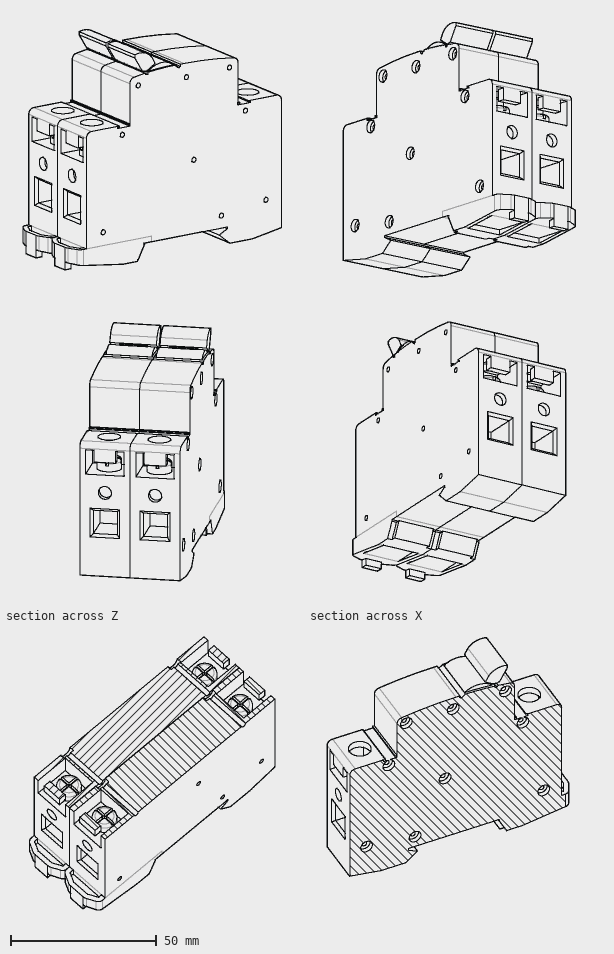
import cadquery as cq


pole_width = 17.5
half_width = pole_width / 2
depth = 81.1
mid_y = depth / 2
pole_count = 2

shoulder_z = 49.7
corner_radius = 2.1
pick_margin = 0.1

tower_depth = 45.0
tower_front = mid_y - tower_depth / 2
tower_back = mid_y + tower_depth / 2
crown_z = 67.6
crown_edge_drop = 1.7
tower_edge_z = crown_z - crown_edge_drop
crown_flat_front = 36.9

groove_floor_z = 49.0
groove_floor_width = 5.1
groove_undercut = 0.7
groove_lip_thickness = 0.4

rear_groove_back_y = 39.05
rear_groove_step_z = 66.8
rear_groove_bottom = (38.45, 66.4)
front_groove_back_y = 25.5
front_groove_floor_y = 24.9
front_groove_front_y = 23.9
front_groove_floor_z = 66.2

rail_ceiling_z = 6.0
hook_root_y = 58.6
hook_lip_z = 5.4
hook_tip = (55.2, 3.7)
hook_foot_front_y = 59.7
hook_foot_back_y = 69.05
back_bottom_z = 2.0

rivet_centres = [
    (59.5, 62.9), (41.55, 62.5), (21.55, 62.9),
    (66.1, 46.4), (14.9, 46.4), (44.65, 32.4),
    (74.65, 13.0), (56.1, 10.5), (7.0, 12.85),
]
rivet_diameter = 1.7
rivet_head_diameter = 4.3
rivet_head_depth = 1.6

window_width = 13.4
window_bottom_z = 38.45
window_top_z = 47.15
window_depth = 12.9
tongue_width = 7.6
tongue_bottom_z = 42.9
tongue_thickness = 2.8

screw_y = 8.2
screw_access_diameter = 7.8
screw_diameter = 8.5
screw_height = 3.9
screw_edge = 1.0
screw_slot_width = 0.95
screw_slot_depth = 1.7

test_hole_z = 32.1
test_hole_diameter = 4.6
test_hole_depth = 2.2

wire_entry_z = 21.1
wire_mouth_size = 10.35
wire_hole_size = 8.4
wire_mouth_depth = 1.0
wire_hole_depth = 12.9

pivot_y = 31.9
pivot_z = 60.95
drum_radius = 8.3
drum_width = 16.0
lever_width = 16.3
stem_width = 9.8

lever_heel = (29.0, 69.4)
lever_shoulder = (27.7, 71.8)
lever_peak = (22.6, 74.2)
lever_tip = (20.5, 73.9)
lever_tip_edge = (20.5, 72.75)
lever_toe = (23.6, 67.6)
lever_keel = (24.9, 67.2)
stem_front_top = (25.9, 67.5)
stem_back_top = (28.1, 68.8)
stem_front_y = 25.5
stem_base_z = 65.5

slider_top_z = 8.1
slider_back_y = 27.1
slider_step_y = 24.0
slider_step_z = 5.4
slider_foot_back_y = 21.1
slider_foot_front_y = 15.2
slider_slope_top_z = 2.85
catch_reach = 1.7
slider_overhang = 5.1
nose_half_width = 3.8
nose_side_y = -2.6
nose_side_radius = 2.1
nose_front_radius = 3.1
slider_wall = 1.8
loop_floor_z = 5.4
tab_width = 6.2
tab_thickness = 2.6
recess_roof_z = 1.8
recess_back_y = 15.5


def side_prism(sketch, width):
    """Extrude a closed outline in the YZ plane symmetrically to the given width."""
    return sketch.extrude(width / 2, both=True)


def box_between(x_size, y_range, z_range):
    """Box centred on x = 0 that spans the given y and z ranges."""
    return cq.Workplane("XY").box(
        x_size, y_range[1] - y_range[0], z_range[1] - z_range[0], centered=(True, False, False)
    ).translate((0, y_range[0], z_range[0]))


def arc_radius(run, rise):
    """Radius of a circle that rises from level to the given height over the given run."""
    return (run ** 2 + rise ** 2) / (2 * rise)


def make_housing():
    front_crown_radius = arc_radius(crown_flat_front - tower_front, crown_edge_drop)
    back_crown_radius = arc_radius(tower_back - mid_y, crown_edge_drop)
    outline = (
        cq.Workplane("YZ")
        .moveTo(0, slider_top_z)
        .lineTo(0, shoulder_z)
        .lineTo(tower_front, shoulder_z)
        .lineTo(tower_front, tower_edge_z)
        .radiusArc((crown_flat_front, crown_z), front_crown_radius)
        .lineTo(mid_y, crown_z)
        .radiusArc((tower_back, tower_edge_z), back_crown_radius)
        .lineTo(tower_back, shoulder_z)
        .lineTo(depth, shoulder_z)
        .lineTo(depth, back_bottom_z)
        .lineTo(hook_foot_back_y, 0)
        .lineTo(hook_foot_front_y, 0)
        .lineTo(*hook_tip)
        .lineTo(hook_root_y, hook_lip_z)
        .lineTo(hook_root_y, rail_ceiling_z)
        .lineTo(slider_back_y, rail_ceiling_z)
        .lineTo(slider_back_y, slider_top_z)
        .close()
    )
    housing = side_prism(outline, pole_width)
    for y, z in [
        (0, shoulder_z), (depth, shoulder_z),
        (tower_front, tower_edge_z), (tower_back, tower_edge_z),
    ]:
        corner = cq.selectors.BoxSelector(
            (-half_width, y - pick_margin, z - pick_margin),
            (half_width, y + pick_margin, z + pick_margin),
        )
        housing = housing.edges(corner).fillet(corner_radius)
    return housing


def make_shoulder_groove():
    """T-slot at the foot of the tower front, undercutting a thin lip on each side."""
    groove_front = tower_front - groove_floor_width
    undercut = box_between(
        pole_width, (groove_front, tower_front), (groove_floor_z, shoulder_z - groove_lip_thickness)
    )
    mouth = box_between(
        pole_width,
        (groove_front + groove_undercut, tower_front - groove_undercut),
        (groove_floor_z, shoulder_z),
    )
    return undercut.union(mouth)


def make_crown_grooves():
    rear = cq.Workplane("YZ").polyline([
        (rear_groove_back_y, crown_z),
        (rear_groove_back_y, rear_groove_step_z),
        rear_groove_bottom,
        (crown_flat_front, crown_z),
    ]).close()
    front = cq.Workplane("YZ").polyline([
        (front_groove_back_y, crown_z),
        (front_groove_back_y, front_groove_floor_z),
        (front_groove_floor_y, front_groove_floor_z),
        (front_groove_front_y, crown_z),
    ]).close()
    return side_prism(rear, pole_width).union(side_prism(front, pole_width))


def make_toggle():
    """Drum with a lever that hovers just above it on a narrower stem."""
    drum = side_prism(
        cq.Workplane("YZ").center(pivot_y, pivot_z).circle(drum_radius), drum_width
    )
    lever = side_prism(
        cq.Workplane("YZ")
        .moveTo(*lever_heel)
        .lineTo(*lever_shoulder)
        .threePointArc(lever_peak, lever_tip)
        .lineTo(*lever_tip_edge)
        .lineTo(*lever_toe)
        .lineTo(*lever_keel)
        .lineTo(*stem_front_top)
        .close(),
        lever_width,
    )
    stem = side_prism(
        cq.Workplane("YZ").polyline([
            (stem_front_y, stem_base_z),
            (stem_front_y, stem_front_top[1]),
            stem_front_top,
            stem_back_top,
            (stem_back_top[0], stem_base_z),
        ]).close(),
        stem_width,
    )
    return drum.union(stem).union(lever)


def make_terminal_cavity():
    window = box_between(window_width, (0, window_depth), (window_bottom_z, window_top_z))
    tongue = box_between(tongue_width, (0, tongue_thickness), (tongue_bottom_z, window_top_z))
    access = (
        cq.Workplane("XY", origin=(0, screw_y, window_bottom_z))
        .circle(screw_access_diameter / 2)
        .extrude(shoulder_z - window_bottom_z)
    )
    test_hole = (
        cq.Workplane("XZ", origin=(0, 0, test_hole_z))
        .circle(test_hole_diameter / 2)
        .extrude(-test_hole_depth)
    )
    wire_mouth = (
        cq.Workplane("XZ", origin=(0, 0, wire_entry_z))
        .rect(wire_mouth_size, wire_mouth_size)
        .workplane(offset=-wire_mouth_depth)
        .rect(wire_hole_size, wire_hole_size)
        .loft()
    )
    wire_hole = (
        cq.Workplane("XZ", origin=(0, 0, wire_entry_z))
        .rect(wire_hole_size, wire_hole_size)
        .extrude(-wire_hole_depth)
    )
    return window.cut(tongue).union(access).union(test_hole).union(wire_mouth).union(wire_hole)


def make_screw():
    head = (
        cq.Workplane("XY", origin=(0, screw_y, window_bottom_z))
        .circle(screw_diameter / 2)
        .extrude(screw_height)
        .faces(">Z").edges().fillet(screw_edge)
    )
    slot = cq.Workplane("XY", origin=(0, screw_y, window_bottom_z + screw_height))
    for x_size, y_size in [(screw_diameter, screw_slot_width), (screw_slot_width, screw_diameter)]:
        head = head.cut(slot.rect(x_size, y_size).extrude(-screw_slot_depth))
    return head


def mirror_to_back(shape):
    return shape.mirror("XZ", (0, mid_y, 0))


def make_rivet_holes():
    shank = (
        cq.Workplane("YZ", origin=(-half_width, 0, 0))
        .pushPoints(rivet_centres)
        .circle(rivet_diameter / 2)
        .extrude(pole_width)
    )
    head = (
        cq.Workplane("YZ", origin=(-half_width, 0, 0))
        .pushPoints(rivet_centres)
        .circle(rivet_head_diameter / 2)
        .extrude(rivet_head_depth)
    )
    return shank.union(head)


def nose_plan():
    """Plan outline of the slider, with its blunt nose pointing to -Y."""
    return cq.Workplane("XY").polyline([
        (-half_width, slider_back_y),
        (-half_width, nose_side_y),
        (-nose_half_width, -slider_overhang),
        (nose_half_width, -slider_overhang),
        (half_width, nose_side_y),
        (half_width, slider_back_y),
    ]).close()


def make_slider():
    plan = nose_plan().extrude(slider_top_z)
    plan = plan.edges("|Z and (not >Y) and (not <Y)").fillet(nose_side_radius)
    plan = plan.edges("|Z and <Y").fillet(nose_front_radius)
    side = cq.Workplane("YZ").polyline([
        (-slider_overhang, slider_slope_top_z),
        (slider_foot_front_y, 0),
        (slider_foot_back_y, 0),
        (slider_step_y, slider_step_z),
        (slider_step_y, rail_ceiling_z),
        (slider_back_y, rail_ceiling_z),
        (slider_back_y, slider_top_z),
        (-slider_overhang, slider_top_z),
    ]).close()
    slider = plan.intersect(side_prism(side, pole_width))

    inner_width = pole_width - 2 * slider_wall
    catch = side_prism(
        cq.Workplane("YZ").polyline([
            (slider_foot_back_y, 0),
            (slider_foot_back_y + catch_reach, 0),
            (slider_step_y + catch_reach, slider_step_z),
            (slider_step_y, slider_step_z),
        ]).close(),
        inner_width,
    )
    tab = box_between(
        tab_width, (-slider_overhang, tab_thickness - slider_overhang), (0, slider_top_z)
    )
    loop_recess = (
        nose_plan()
        .offset2D(-slider_wall)
        .extrude(slider_top_z - loop_floor_z)
        .translate((0, 0, loop_floor_z))
        .intersect(box_between(pole_width, (-slider_overhang, 0), (0, slider_top_z)))
    )
    foot_recess = box_between(inner_width, (0, recess_back_y), (0, recess_roof_z))
    return slider.cut(foot_recess).union(catch).union(tab).cut(loop_recess)


def make_pole():
    groove = make_shoulder_groove()
    cavity = make_terminal_cavity()
    screw = make_screw()
    pole = make_housing()
    pole = pole.cut(groove).cut(mirror_to_back(groove))
    pole = pole.cut(make_crown_grooves()).union(make_toggle())
    pole = pole.cut(cavity).cut(mirror_to_back(cavity))
    pole = pole.union(screw).union(mirror_to_back(screw))
    pole = pole.cut(make_rivet_holes())
    return pole.union(make_slider(), clean=False)


pole = make_pole()
first_x = -(pole_count - 1) * pole_width / 2
poles = [
    pole.translate((first_x + index * pole_width, 0, 0)).val()
    for index in range(pole_count)
]
result = cq.Compound.makeCompound(poles)